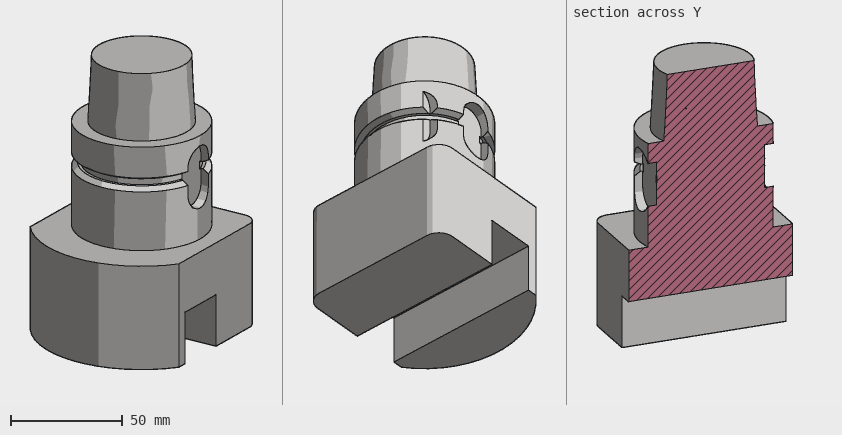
import cadquery as cq
import math

base_width = 80.0
base_height = 50.0
base_radius = 50.0
base_back_y = 35.0
base_corner_radius = 8.0

channel_width = 25.0
channel_height = 25.0

flange_diameter = 63.0
flange_height = 50.0
total_height = 132.0
shank_bottom_diameter = 48.3
shank_top_diameter = 45.1

groove_floor_radius = 27.3
groove_chamfer_radius = 28.8
groove_wall_bottom_z = 80.3
groove_wall_top_z = 83.7
groove_mouth_bottom_z = 78.4
groove_mouth_top_z = 85.1

keyway_width = 16.5
keyway_length = 30.0
keyway_center_z = 80.0
drive_floor_x = 26.4
notch_floor_x = 20.2
notch_center_y = 27.9

flange_radius = flange_diameter / 2
flange_top_z = base_height + flange_height


def make_base():
    half_width = base_width / 2
    arc_end_y = -math.sqrt(base_radius**2 - half_width**2)
    block = (
        cq.Workplane("XY")
        .moveTo(-half_width, base_back_y)
        .lineTo(-half_width, arc_end_y)
        .threePointArc((0, -base_radius), (half_width, arc_end_y))
        .lineTo(half_width, base_back_y)
        .close()
        .extrude(base_height)
        .edges("|Z and >Y")
        .fillet(base_corner_radius)
    )
    channel = cq.Workplane("XY").box(
        base_width, channel_width, channel_height, centered=(True, False, False)
    )
    return block.cut(channel.translate((0, -channel_width, 0)))


def make_spindle():
    """Flange, groove and shank as one revolved profile."""
    return (
        cq.Workplane("XZ")
        .moveTo(0, base_height)
        .lineTo(flange_radius, base_height)
        .lineTo(flange_radius, groove_mouth_bottom_z)
        .lineTo(groove_chamfer_radius, groove_wall_bottom_z)
        .lineTo(groove_floor_radius, groove_wall_bottom_z)
        .lineTo(groove_floor_radius, groove_wall_top_z)
        .lineTo(groove_chamfer_radius, groove_wall_top_z)
        .lineTo(flange_radius, groove_mouth_top_z)
        .lineTo(flange_radius, flange_top_z)
        .lineTo(shank_bottom_diameter / 2, flange_top_z)
        .lineTo(shank_top_diameter / 2, total_height)
        .lineTo(0, total_height)
        .close()
        .revolve(360, (0, 0), (0, 1))
    )


def make_keyway(floor_x, center_y):
    """Cutter from a flat floor at -X outward past the flange."""
    return (
        cq.Workplane("YZ", origin=(-floor_x, 0, 0))
        .center(center_y, keyway_center_z)
        .slot2D(keyway_length, keyway_width, 90)
        .extrude(floor_x - flange_radius)
    )


drive_keyway = make_keyway(drive_floor_x, 0)
orientation_notch = make_keyway(notch_floor_x, notch_center_y)

spindle = (
    make_spindle()
    .cut(drive_keyway)
    .cut(drive_keyway.mirror("YZ"))
    .cut(orientation_notch)
)

result = make_base().union(spindle)